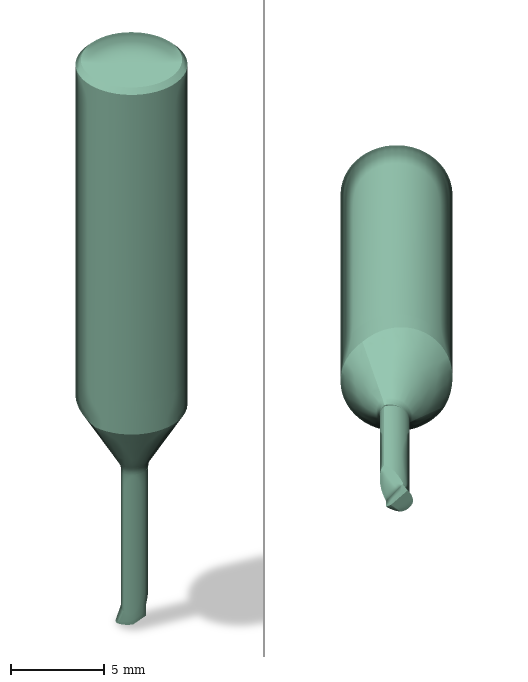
import cadquery as cq
import math

total_length = 36.0
shank_length = 20.0
bar_length = 10.0
shank_bottom = total_length - shank_length

shank_radius = 6.0 / 2
shank_chamfer = 0.3

bar_radius = 0.9
relief_depth = 0.5
relief_radius = (bar_radius**2 + relief_depth**2) / (2 * relief_depth)
relief_offset = relief_radius - relief_depth

cone_half_angle = math.radians(30)
blend_radius = 1.08

tip_height = 1.2
tip_overhang = 0.35
rake_height = 1.35
rake_offset = 0.05
gullet_top = 3.0
end_rise = 0.18
end_clearance = 0.15
corner_chamfer = 0.4


def make_shank():
    """Cylindrical shank with a chamfered top."""
    blank = cq.Workplane("XY").workplane(offset=shank_bottom).circle(shank_radius).extrude(shank_length)
    return blank.faces(">Z").chamfer(shank_chamfer)


def revolved_cone(end_radius, top_radius, center_x):
    """Bar-sized end, concave blend, 30 degree cone and straight collar, revolved about X = center_x."""
    blend_turn = 1 - math.cos(cone_half_angle)
    blend_top_radius = end_radius + blend_radius * blend_turn
    blend_top = bar_length + blend_radius * math.sin(cone_half_angle)
    blend_mid_radius = end_radius + blend_radius * (1 - math.cos(cone_half_angle / 2))
    blend_mid = bar_length + blend_radius * math.sin(cone_half_angle / 2)
    cone_top = blend_top + (top_radius - blend_top_radius) / math.tan(cone_half_angle)
    profile = (
        cq.Workplane("XZ", origin=(center_x, 0, 0))
        .moveTo(0, bar_length)
        .lineTo(end_radius, bar_length)
        .threePointArc((blend_mid_radius, blend_mid), (blend_top_radius, blend_top))
        .lineTo(top_radius, cone_top)
        .lineTo(top_radius, shank_bottom)
        .lineTo(0, shank_bottom)
        .close()
    )
    return profile.revolve(360, (0, 0, 0), (0, 1, 0))


def make_neck():
    """Collar and cone, relieved on the -X side by an offset cone."""
    main_cone = revolved_cone(bar_radius, shank_radius, 0)
    relief_cone = revolved_cone(relief_radius, shank_radius + relief_offset, relief_offset)
    return main_cone.intersect(relief_cone)


def relief_flank():
    """Straight relief cylinder along the bar, leaning toward -X at the tip."""
    straight = (
        cq.Workplane("XY", origin=(relief_offset, 0, tip_height))
        .circle(relief_radius)
        .extrude(bar_length - tip_height)
    )
    leaning = (
        cq.Workplane("XY", origin=(relief_offset - tip_overhang, 0, 0))
        .circle(relief_radius)
        .workplane(offset=tip_height)
        .center(tip_overhang, 0)
        .circle(relief_radius)
        .loft(ruled=True)
    )
    return straight.union(leaning)


def gullet():
    """Clearance on the +Y side: a flat rake face topped by a slope."""
    return (
        cq.Workplane("YZ", origin=(-2 * bar_radius, 0, 0))
        .polyline([
            (-rake_offset, 0),
            (-rake_offset, rake_height),
            (bar_radius, gullet_top),
            (2 * bar_radius, gullet_top),
            (2 * bar_radius, 0),
        ])
        .close()
        .extrude(4 * bar_radius)
    )


def end_envelope():
    """Space above the end face, which rises toward +X and toward -Y."""
    point_x = -relief_depth - tip_overhang
    end_slope = end_rise / -point_x
    chamfer_x = bar_radius - corner_chamfer
    chamfer_z = end_slope * (chamfer_x - point_x)
    clearance_slope = end_clearance / bar_radius

    def outline(y):
        lift = -clearance_slope * (y + rake_offset)
        return cq.Wire.makePolygon([
            cq.Vector(point_x - bar_radius, y, lift - end_slope * bar_radius),
            cq.Vector(chamfer_x, y, lift + chamfer_z),
            cq.Vector(chamfer_x + 2 * corner_chamfer, y, lift + chamfer_z + 2 * corner_chamfer),
            cq.Vector(chamfer_x + 2 * corner_chamfer, y, lift + bar_length),
            cq.Vector(point_x - bar_radius, y, lift + bar_length),
        ], close=True)

    reach = 2 * bar_radius
    return cq.Workplane(cq.Solid.makeLoft([outline(-reach), outline(reach)], True))


def make_boring_bar():
    """Slender relieved bar ending in the cutting tip."""
    bar = cq.Workplane("XY").circle(bar_radius).extrude(bar_length)
    return bar.intersect(relief_flank()).cut(gullet()).intersect(end_envelope())


shank = make_shank()
neck = make_neck()
boring_bar = make_boring_bar()

result = cq.Compound.makeCompound([shank.val(), neck.val(), boring_bar.val()])